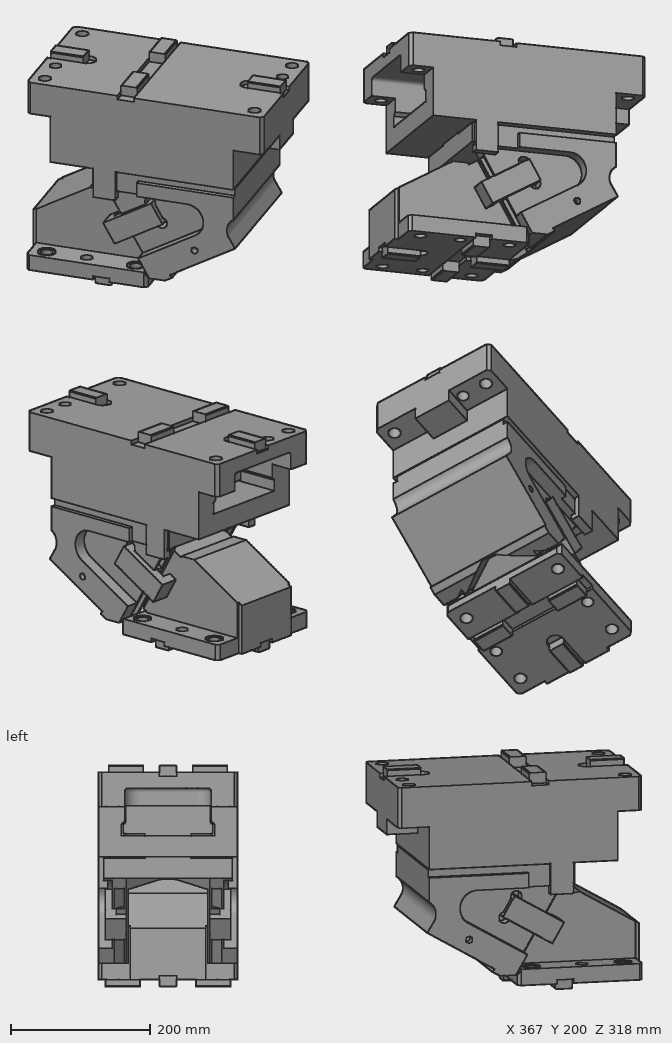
import cadquery as cq
import math

width = 200.0
half_width = width / 2
overall_length = 367.0
overall_height = 318.0

key_length = 50.0
key_width = 25.0
key_height = 10.0
key_depth = 6.0
key_chamfer = 1.5
key_end_gap = 4.8
slot_run_out = 14.5

corner_chamfer = 4.8
bolt_diameter = 18.0
bolt_y = 80.0

holder_left = 7.0
holder_top = overall_height - key_height
left_flange_bottom = 258.5
right_flange_bottom = 249.0
body_left = 42.5
body_right = 321.5
body_bottom = 186.5
holder_cross_slot_x = 157.5
holder_key_y = 60.2
bolt_inset = 20.2
dowel_diameter = 17.0
left_dowel_y = -34.5
right_dowel_y = 40.0

stop_bottom = 226.0
stop_width = 58.7

leg_left = 108.0
leg_right = 141.5
leg_bottom = 141.3
hook_top = 152.0
hook_inner_y = 86.5

channel_floor = 216.5
channel_top = 285.0
channel_half_width = 62.0
channel_wing_half_width = 67.0
channel_wing_top = 232.5
channel_end = 293.5
channel_corner_radius = 20.5
channel_edge_fillet = 5.5
rail_top = 259.5
rail_side_gap = 1.5
wing_gap = 2.5
rail_floor_gap = 3.3
neck_half_width = 33.0
rail_end = 264.2

slide_left = 104.5
slide_top = 184.5
slide_bottom = 25.7
slide_flange_half_width = 92.5
slide_flange_bottom = 152.5
flange_plate_bottom = 155.5
side_plate_left = 174.5
side_plate_top = 174.0
pocket_floor_y = 80.5
pocket_radius = 25.7
pocket_arc_x = 250.3
back_notch_top = 138.0
back_notch_middle = (311.5, 120.7)
back_notch_bottom = (315.5, 108.3)
back_corner = (324.5, 93.5)
underside_step_top = (225.0, 36.0)
underside_step_bottom = (228.3, 32.0)
underside_flat_right = 217.3
marker_hole_x = 262.5
marker_hole_z = 80.7
marker_hole_diameter = 9.5
marker_hole_depth = 14.5

cam_angle = math.radians(30)
cam_x = 125.5
cam_z = 139.5
cam_length = 116.7
cam_plate_thickness = 14.5
cam_half_width = 57.3
ridge_half_width = 10.5
ridge_reach = 29.5
slide_face_reach = 2.0
groove_clearance = 3.5
face_relief_outer_y = 77.0
face_relief_inner_y = 63.0
face_relief_depth = 8.0

return_hook_inner_y = 60.2
return_hook_outer_y = 90.0
return_hook_back = -26.0
return_hook_front = 58.5
return_hook_start = 33.5
return_hook_end = 68.3
hook_groove_outer_y = 74.0
hook_groove_back = -13.0
relief_radius = 8.0
relief_inset = 5.5

driver_bottom = key_height
base_top = 33.8
base_left = 6.0
base_right = 190.0
base_cam_gap = 1.5
block_front_height = 83.5
block_top = 134.5
block_nose_half_width = 54.3
driver_cross_slot_x = 120.0
driver_key_y = 65.0
driver_bolt_inset = 24.2
driver_dowel_x = 91.0
spotface_diameter = 25.7
spotface_depth = 1.5

sides = (-1, 1)


def box(x_min, x_max, y_min, y_max, z_min, z_max):
    """Axis-aligned box given by its limits."""
    size = (x_max - x_min, y_max - y_min, z_max - z_min)
    return cq.Workplane("XY").box(*size, centered=False).translate((x_min, y_min, z_min))


def wide_box(x_min, x_max, half, z_min, z_max):
    """Box centred on the symmetry plane."""
    return box(x_min, x_max, -half, half, z_min, z_max)


def mirrored_pair(solid):
    """A shape together with its mirror image across the symmetry plane."""
    return solid.union(solid.mirror("XZ"))


def side_profile(points, y_min, y_max):
    """Closed XZ polygon extruded from y_min to y_max."""
    return cq.Workplane("XZ", origin=(0, y_max, 0)).polyline(points).close().extrude(y_max - y_min)


def cam_point(reach, drop):
    """XZ position of a point given relative to the cam face."""
    x = cam_x + reach * math.cos(cam_angle) + drop * math.sin(cam_angle)
    z = cam_z + reach * math.sin(cam_angle) - drop * math.cos(cam_angle)
    return (x, z)


def cam_face_x(z, reach=0):
    """X of the plane parallel to the cam face at the given reach, at height z."""
    return cam_x + reach / math.cos(cam_angle) + (cam_z - z) * math.tan(cam_angle)


def cam_prism(profile, start, end):
    """Prism running down along the cam face, with a (reach, -Y) profile."""
    x, z = cam_point(0, start)
    plane = cq.Plane(
        origin=(x, 0, z),
        xDir=(math.cos(cam_angle), 0, math.sin(cam_angle)),
        normal=(math.sin(cam_angle), 0, -math.cos(cam_angle)),
    )
    return cq.Workplane(plane).polyline(profile).close().extrude(end - start)


def key(length, width_y, x, y, z_min):
    """Locating key with its two long upper edges chamfered."""
    height = key_height + key_depth
    blank = cq.Workplane("XY").box(length, width_y, height, centered=(True, True, False))
    long_edges = "|X" if length > width_y else "|Y"
    return blank.faces(">Z").edges(long_edges).chamfer(key_chamfer).translate((x, y, z_min))


def key_set(left, right, cross_x, cross_y, face_z):
    """Two keys along X at the ends and two across, standing on a face that looks up."""
    z_min = face_z - key_depth
    first_x = left + key_length / 2
    last_x = right - key_length / 2
    keys = key(key_length, key_width, first_x, 0, z_min)
    keys = keys.union(key(key_length, key_width, last_x, 0, z_min))
    for side in sides:
        keys = keys.union(key(key_width, key_length, cross_x, side * cross_y, z_min))
    return keys


def key_slots(left, right, left_key, right_key, cross_x, face_z):
    """Round-ended slots for the end keys and a straight slot across for the other two."""
    z_min = face_z - key_depth
    half = key_width / 2
    slots = wide_box(cross_x - half, cross_x + half, half_width, z_min, face_z)
    left_end = left_key + key_length + slot_run_out - half
    right_end = right_key - key_length - slot_run_out + half
    for outer, inner in ((left, left_end), (right, right_end)):
        slots = slots.union(wide_box(min(outer, inner), max(outer, inner), half, z_min, face_z))
        round_end = cq.Workplane("XY", origin=(inner, 0, z_min)).circle(half).extrude(key_depth)
        slots = slots.union(round_end)
    return slots


def drill(points, diameter, z_min, z_max):
    """Vertical round holes."""
    plane = cq.Workplane("XY", origin=(0, 0, z_min))
    return plane.pushPoints(points).circle(diameter / 2).extrude(z_max - z_min)


def flip_about(solid, z):
    """Turn a shape upside down about the level z."""
    return solid.mirror("XY", (0, 0, z))


def t_profile(half, wing_half, floor, wing_top, top):
    """YZ outline of a T-shaped section with wings at the bottom and sloped shoulders."""
    shoulder = wing_top + wing_half - half
    right_side = [(wing_half, floor), (wing_half, wing_top), (half, shoulder), (half, top)]
    return right_side + [(-y, z) for y, z in reversed(right_side)]


def make_channel():
    """T-shaped channel open at the left end, with rounded corners at its closed end."""
    start = holder_left - channel_corner_radius
    upper = wide_box(start, channel_end, channel_half_width, channel_floor, channel_top)
    upper = upper.edges("|Z and >X").fillet(channel_corner_radius)
    upper = upper.faces(">Z").edges().fillet(channel_edge_fillet)
    profile = t_profile(
        channel_half_width, channel_wing_half_width, channel_floor, channel_wing_top, left_flange_bottom
    )
    length = rail_end - start
    wings = cq.Workplane("YZ", origin=(start, 0, 0)).polyline(profile).close().extrude(length)
    neck_slot = wide_box(slide_left, rail_end, neck_half_width, body_bottom, channel_floor)
    return upper.union(wings).union(neck_slot)


def make_legs():
    """Legs on both sides that reach down and hook under the slide flange."""
    leg = box(leg_left, leg_right, slide_flange_half_width, half_width, leg_bottom, body_bottom)
    hook = box(leg_left, leg_right, hook_inner_y, half_width, leg_bottom, hook_top)
    return mirrored_pair(leg.union(hook))


def make_holder():
    left_flange = wide_box(holder_left, body_left, half_width, left_flange_bottom, holder_top)
    right_flange = wide_box(body_right, overall_length, half_width, right_flange_bottom, holder_top)
    left_flange = left_flange.edges("|Z and <X").chamfer(corner_chamfer)
    right_flange = right_flange.edges("|Z and >X").chamfer(corner_chamfer)
    body = wide_box(body_left, body_right, half_width, body_bottom, holder_top)
    stop = wide_box(body_right, overall_length, stop_width / 2, stop_bottom, right_flange_bottom)
    holder = body.union(left_flange).union(right_flange).union(stop).union(make_legs())
    holder = holder.cut(make_channel())

    left_hole_x = holder_left + bolt_inset
    right_hole_x = overall_length - bolt_inset
    bolts = [(x, side * bolt_y) for x in (left_hole_x, right_hole_x) for side in sides]
    dowels = [(left_hole_x, left_dowel_y), (right_hole_x, right_dowel_y)]
    holder = holder.cut(drill(bolts, bolt_diameter, stop_bottom, holder_top))
    holder = holder.cut(drill(dowels, dowel_diameter, stop_bottom, holder_top))

    left_key = holder_left + key_end_gap
    right_key = overall_length - key_end_gap
    slots = key_slots(holder_left, overall_length, left_key, right_key, holder_cross_slot_x, holder_top)
    return holder.cut(slots).union(key_set(left_key, right_key, holder_cross_slot_x, holder_key_y, holder_top))


def make_rail():
    """T-shaped rail that runs in the channel of the holder, and the neck that carries it."""
    profile = t_profile(
        channel_half_width - rail_side_gap,
        channel_wing_half_width - wing_gap,
        channel_floor + rail_floor_gap,
        channel_wing_top,
        rail_top,
    )
    length = rail_end - slide_left
    rail = cq.Workplane("YZ", origin=(slide_left, 0, 0)).polyline(profile).close().extrude(length)
    neck_top = channel_floor + rail_floor_gap
    return rail.union(wide_box(slide_left, rail_end, neck_half_width, slide_top, neck_top))


def make_slide_body():
    """Full-width lower part with the tilted cam face in front and a round notch at the back."""
    outline = (
        cq.Workplane("XZ", origin=(0, half_width, 0))
        .moveTo(cam_face_x(side_plate_top, slide_face_reach), side_plate_top)
        .lineTo(body_right, side_plate_top)
        .lineTo(body_right, back_notch_top)
        .threePointArc(back_notch_middle, back_notch_bottom)
        .lineTo(*back_corner)
        .lineTo(*underside_step_top)
        .lineTo(*underside_step_bottom)
        .lineTo(underside_flat_right, slide_bottom)
        .lineTo(cam_face_x(slide_bottom, slide_face_reach), slide_bottom)
        .close()
    )
    return outline.extrude(width)


def make_side_pocket():
    """Pocket in the +Y side, open to the front, with a round end between its two walls."""
    center_z = slide_flange_bottom - pocket_radius
    lower_x = pocket_arc_x + pocket_radius * math.sin(cam_angle)
    lower_z = center_z - pocket_radius * math.cos(cam_angle)
    middle_x = pocket_arc_x + pocket_radius * math.cos(cam_angle)
    middle_z = center_z + pocket_radius * math.sin(cam_angle)
    lower_wall_left_z = lower_z - (lower_x - slide_left) * math.tan(cam_angle)
    outline = (
        cq.Workplane("XZ", origin=(0, half_width, 0))
        .moveTo(slide_left, slide_flange_bottom)
        .lineTo(pocket_arc_x, slide_flange_bottom)
        .threePointArc((middle_x, middle_z), (lower_x, lower_z))
        .lineTo(slide_left, lower_wall_left_z)
        .close()
    )
    return outline.extrude(half_width - pocket_floor_y)


def make_cam_groove():
    """V groove with a flat root that clears the ridge of the driver and opens onto the slide face."""
    slope = ridge_reach / (cam_half_width - ridge_half_width)
    mouth_half_width = cam_half_width + (groove_clearance - slide_face_reach) / slope
    root_reach = ridge_reach + groove_clearance
    profile = [
        (slide_face_reach, mouth_half_width),
        (root_reach, ridge_half_width),
        (root_reach, -ridge_half_width),
        (slide_face_reach, -mouth_half_width),
    ]
    return cam_prism(profile, -cam_length, 2 * cam_length)


def make_face_relief():
    """Wedge-shaped groove in the slide face beside the V groove, on the +Y side."""
    profile = [
        (slide_face_reach, -face_relief_outer_y),
        (slide_face_reach + face_relief_depth, -face_relief_inner_y),
        (slide_face_reach, -face_relief_inner_y),
    ]
    return cam_prism(profile, 0, 2 * cam_length)


def make_return_hook():
    """Bar on the +Y side that reaches beside the driver, grooved inside ahead of the slide face."""
    corners = [
        cam_point(return_hook_back, return_hook_start),
        cam_point(return_hook_front, return_hook_start),
        cam_point(return_hook_front, return_hook_end),
        cam_point(return_hook_back, return_hook_end),
    ]
    hook = side_profile(corners, return_hook_inner_y, return_hook_outer_y)
    groove = [
        (hook_groove_back, -return_hook_inner_y),
        (hook_groove_back, -hook_groove_outer_y),
        (slide_face_reach, -hook_groove_outer_y),
        (slide_face_reach, -return_hook_inner_y),
    ]
    return hook.cut(cam_prism(groove, return_hook_start, return_hook_end))


def make_hook_reliefs():
    """Round corner reliefs in the pocket floor at the far end of the return hook."""
    reach = return_hook_front - relief_inset
    centers = [cam_point(reach, drop) for drop in (return_hook_start, return_hook_end)]
    plane = cq.Workplane("XZ", origin=(0, pocket_floor_y, 0))
    depth = pocket_floor_y - return_hook_inner_y
    return plane.pushPoints(centers).circle(relief_radius).extrude(depth)


def make_marker_hole():
    """Blind hole in the +Y side with a conical end."""
    radius = marker_hole_diameter / 2
    half_section = [
        (0, half_width),
        (radius, half_width),
        (radius, half_width - marker_hole_depth),
        (0, half_width - marker_hole_depth - radius),
    ]
    hole = cq.Workplane("XY").polyline(half_section).close().revolve(360, (0, 0, 0), (0, 1, 0))
    return hole.translate((marker_hole_x, 0, marker_hole_z))


def make_slide():
    body = make_slide_body()
    setback = box(
        slide_left, side_plate_left, slide_flange_half_width, half_width, slide_flange_bottom, side_plate_top
    )
    side_cuts = make_side_pocket().union(setback).union(make_hook_reliefs())
    side_cuts = side_cuts.union(make_marker_hole()).union(make_face_relief())
    body = body.cut(mirrored_pair(side_cuts)).cut(make_cam_groove())
    flange = wide_box(slide_left, body_right, slide_flange_half_width, flange_plate_bottom, slide_top)
    hooks = mirrored_pair(make_return_hook())
    return body.union(flange).union(hooks).union(make_rail())


def make_driver_block():
    """Central block with a sloped front, narrower ahead of the foot plate."""
    slope_run = (block_top - block_front_height) / math.tan(cam_angle)
    outline = [
        (0, driver_bottom),
        (0, block_front_height),
        (slope_run, block_top),
        (cam_face_x(block_top, -cam_plate_thickness), block_top),
        (cam_face_x(driver_bottom, -cam_plate_thickness), driver_bottom),
    ]
    block = side_profile(outline, -cam_half_width, cam_half_width)
    step = box(0, base_left, block_nose_half_width, cam_half_width, driver_bottom, block_top)
    return block.cut(mirrored_pair(step))


def make_cam_plate():
    """Plate with the V-shaped ridge that the groove of the slide runs on."""
    profile = [
        (-cam_plate_thickness, cam_half_width),
        (0, cam_half_width),
        (ridge_reach, ridge_half_width),
        (ridge_reach, -ridge_half_width),
        (0, -cam_half_width),
        (-cam_plate_thickness, -cam_half_width),
    ]
    return cam_prism(profile, 0, cam_length)


def make_base():
    """Foot plate with chamfered corners, its right end cut back parallel to the cam face."""
    base = wide_box(base_left, base_right, half_width, driver_bottom, base_top)
    base = base.edges("|Z").chamfer(corner_chamfer)
    clearance = [
        (cam_face_x(base_top, -base_cam_gap), base_top),
        (cam_face_x(driver_bottom, -base_cam_gap), base_top),
        (cam_face_x(driver_bottom, -base_cam_gap), driver_bottom),
    ]
    return base.cut(side_profile(clearance, -half_width, half_width))


def make_driver():
    base = make_base()
    hole_x = (base_left + driver_bolt_inset, base_right - driver_bolt_inset)
    bolts = [(x, side * bolt_y) for x in hole_x for side in sides]
    dowels = [(driver_dowel_x, side * bolt_y) for side in sides]
    base = base.cut(drill(bolts, bolt_diameter, driver_bottom, base_top))
    base = base.cut(drill(bolts, spotface_diameter, base_top - spotface_depth, base_top))
    base = base.cut(drill(dowels, dowel_diameter, driver_bottom, base_top))
    driver = base.union(make_driver_block()).union(make_cam_plate())

    left_key = key_end_gap
    right_key = base_right
    slots = key_slots(0, base_right, left_key, right_key, driver_cross_slot_x, driver_bottom)
    keys = key_set(left_key, right_key, driver_cross_slot_x, driver_key_y, driver_bottom)
    return driver.cut(flip_about(slots, driver_bottom)).union(flip_about(keys, driver_bottom))


holder = make_holder()
slide = make_slide()
driver = make_driver()

result = cq.Compound.makeCompound([body.solids().val() for body in (holder, slide, driver)])